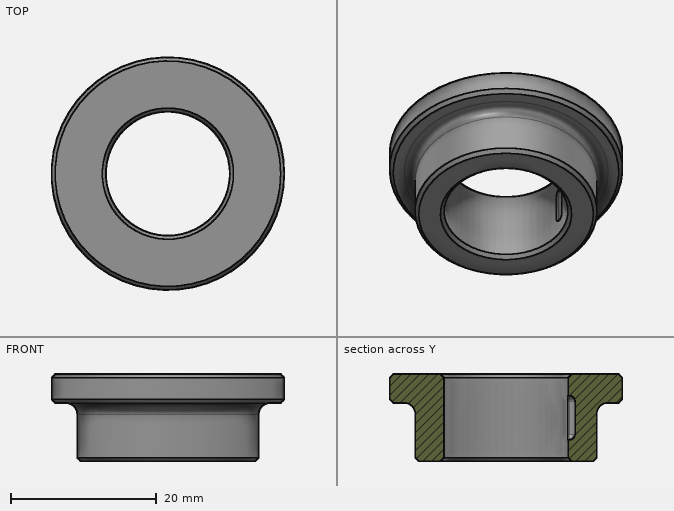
import cadquery as cq

flange_diameter = 32.0
body_diameter = 25.0
bore_diameter = 17.0
total_height = 12.0
flange_thickness = 4.0
edge_chamfer = 0.5
neck_fillet = 1.5

groove_width = 1.5
groove_length = 6.0
groove_straight_depth = 0.22

flange_radius = flange_diameter / 2
body_radius = body_diameter / 2
bore_radius = bore_diameter / 2
flange_bottom = total_height - flange_thickness


def make_bush():
    """Revolve the half section, with chamfered rims and a rounded neck."""
    section = (
        cq.Workplane("XZ")
        .moveTo(bore_radius + edge_chamfer, 0)
        .lineTo(body_radius - edge_chamfer, 0)
        .lineTo(body_radius, edge_chamfer)
        .lineTo(body_radius, flange_bottom - neck_fillet)
        .radiusArc((body_radius + neck_fillet, flange_bottom), neck_fillet)
        .lineTo(flange_radius - edge_chamfer, flange_bottom)
        .lineTo(flange_radius, flange_bottom + edge_chamfer)
        .lineTo(flange_radius, total_height - edge_chamfer)
        .lineTo(flange_radius - edge_chamfer, total_height)
        .lineTo(bore_radius + edge_chamfer, total_height)
        .lineTo(bore_radius, total_height - edge_chamfer)
        .lineTo(bore_radius, edge_chamfer)
        .close()
    )
    return section.revolve(360, (0, 0, 0), (0, 1, 0))


def make_groove():
    """Upright slot with a full-round floor and ball-shaped ends."""
    groove_radius = groove_width / 2
    floor_centre = bore_radius + groove_straight_depth
    middle_height = total_height / 2
    end_spacing = groove_length - groove_width

    slot = (
        cq.Workplane("YZ", origin=(floor_centre - groove_width, 0, middle_height))
        .slot2D(groove_length, groove_width, 90)
        .extrude(groove_width)
    )
    floor = (
        cq.Workplane("XY", origin=(floor_centre, 0, middle_height - end_spacing / 2))
        .circle(groove_radius)
        .extrude(end_spacing)
    )
    groove = slot.union(floor)
    for side in (-1, 1):
        end_height = middle_height + side * end_spacing / 2
        ball = cq.Workplane("XY", origin=(floor_centre, 0, end_height)).sphere(groove_radius)
        groove = groove.union(ball)
    return groove


result = make_bush().cut(make_groove())